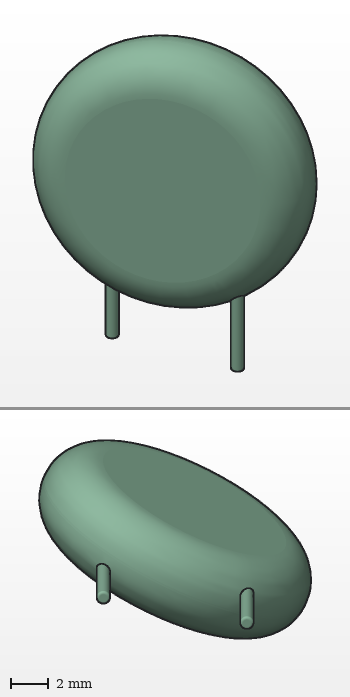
import cadquery as cq

disc_diameter = 15.5
disc_thickness = 4.8
edge_radius = 2.33

total_height = 18.53
lead_diameter = 0.72
lead_pitch = 7.5
lead_stagger = 2.0
lead_tip_radius = 0.15

disc_radius = disc_diameter / 2
lead_bottom = disc_radius - total_height
lead_top = -disc_radius / 2


def make_disc():
    """Disc with generously rounded rims that leave a narrow band between them."""
    return (
        cq.Workplane("XZ")
        .circle(disc_radius)
        .extrude(disc_thickness / 2, both=True)
        .edges()
        .fillet(edge_radius)
    )


def make_lead(x, y):
    """Vertical lead with a rounded lower tip."""
    return (
        cq.Workplane("XY", origin=(x, y, lead_bottom))
        .circle(lead_diameter / 2)
        .extrude(lead_top - lead_bottom)
        .faces("<Z")
        .edges()
        .fillet(lead_tip_radius)
    )


result = make_disc()
for side in (-1, 1):
    result = result.union(make_lead(side * lead_pitch / 2, -side * lead_stagger / 2))